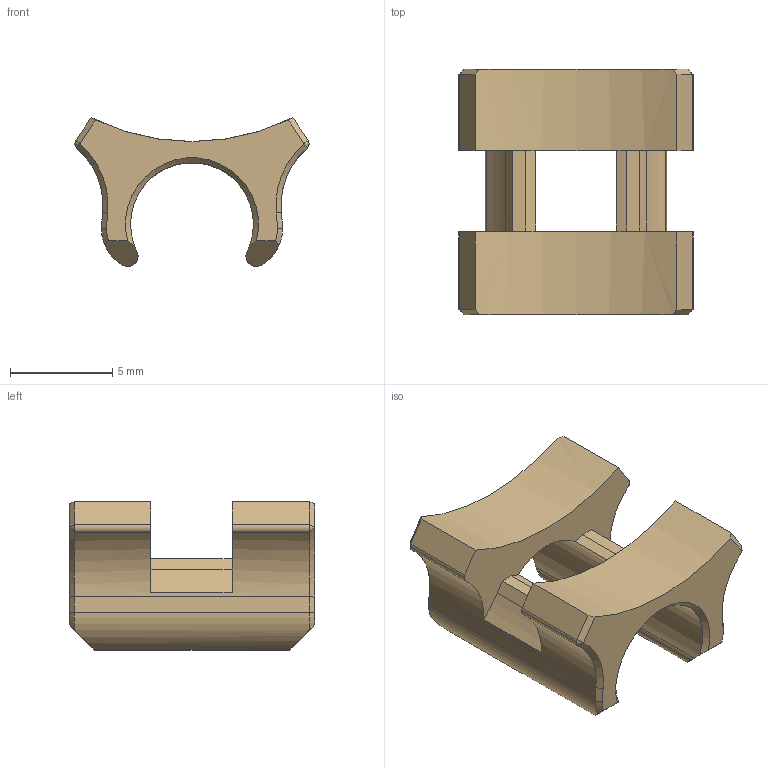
import cadquery as cq
import math


length = 11.99
half_length = length / 2
bore_radius = 3.0

saddle_radius = 11.0
saddle_bottom_z = 4.04
saddle_half_width = 4.93
saddle_center_z = saddle_bottom_z + saddle_radius

wing_slant = math.radians(56.4)
wing_corner_radius = 0.28
flank_radius = 3.65
flank_center = (8.0, 0.95)
flank_end_z = 0.57

leg_half_width = 4.43
leg_arc_start_z = -0.2
tip_radius = 0.5
tip_center_z = -1.555

edge_chamfer = 0.25
lead_in_chamfer = 1.25

gap_width = 3.97
gap_center_y = 0.03
ledge_z = 2.43
ledge_inner_x = 2.47
ledge_outer_x = 3.08
ledge_bore_x = 1.97
step_z = 1.89
gap_outer_z = 0.77


def flank_x(z):
    """X of the concave flank at height z."""
    return flank_center[0] - math.sqrt(flank_radius**2 - (z - flank_center[1])**2)


def flank_point(z):
    return (flank_x(z), z)


def polar(center, radius, angle):
    return (center[0] + radius * math.cos(angle), center[1] + radius * math.sin(angle))


def saddle_point(x):
    return (x, saddle_center_z - math.sqrt(saddle_radius**2 - x**2))


def line(start, end):
    """Straight edge in the XZ plane."""
    return cq.Edge.makeLine(*[cq.Vector(x, 0, z) for x, z in (start, end)])


def arc(start, middle, end):
    """Circular edge in the XZ plane."""
    return cq.Edge.makeThreePointArc(*[cq.Vector(x, 0, z) for x, z in (start, middle, end)])


def wing_corner():
    """Where the slanted end face meets the flank circle."""
    start = saddle_point(saddle_half_width)
    direction = (math.cos(wing_slant), -math.sin(wing_slant))
    offset = (start[0] - flank_center[0], start[1] - flank_center[1])
    along = offset[0] * direction[0] + offset[1] * direction[1]
    gap = offset[0]**2 + offset[1]**2 - flank_radius**2
    distance = -along - math.sqrt(along**2 - gap)
    return (start[0] + distance * direction[0], start[1] + distance * direction[1])


def clip_body():
    """The clip profile, extruded along Y."""
    corner = wing_corner()
    flank_mid_z = (corner[1] + flank_end_z) / 2

    tip_distance = bore_radius + tip_radius
    tip_center = (math.sqrt(tip_distance**2 - tip_center_z**2), tip_center_z)
    bore_angle = math.atan2(tip_center[1], tip_center[0])
    bore_end = polar((0, 0), bore_radius, bore_angle)

    across = leg_half_width - tip_center[0]
    drop = leg_arc_start_z - tip_center[1]
    leg_radius = (across**2 + drop**2 - tip_radius**2) / (2 * (across - tip_radius))
    leg_center = (leg_half_width - leg_radius, leg_arc_start_z)
    leg_angle = math.atan2(tip_center[1] - leg_center[1], tip_center[0] - leg_center[0])
    tip_mid_angle = (leg_angle + bore_angle - math.pi) / 2

    right_side = [
        line(saddle_point(saddle_half_width), corner),
        arc(corner, flank_point(flank_mid_z), flank_point(flank_end_z)),
        line(flank_point(flank_end_z), (leg_half_width, leg_arc_start_z)),
        arc(
            (leg_half_width, leg_arc_start_z),
            polar(leg_center, leg_radius, leg_angle / 2),
            polar(leg_center, leg_radius, leg_angle),
        ),
        arc(
            polar(leg_center, leg_radius, leg_angle),
            polar(tip_center, tip_radius, tip_mid_angle),
            bore_end,
        ),
    ]
    left_side = [edge.mirror("YZ") for edge in reversed(right_side)]
    saddle = arc(
        (-saddle_half_width, saddle_point(saddle_half_width)[1]),
        (0, saddle_bottom_z),
        saddle_point(saddle_half_width),
    )
    bore = arc(bore_end, (0, bore_radius), (-bore_end[0], bore_end[1]))
    outline = cq.Wire.assembleEdges([saddle] + right_side + [bore] + left_side)
    body = cq.Solid.extrudeLinear(outline, [], cq.Vector(0, length, 0))
    return cq.Workplane(body.translate(cq.Vector(0, -half_length, 0)))


def round_wing_corners(body):
    corner = wing_corner()
    for x in (corner[0], -corner[0]):
        selector = cq.selectors.NearestToPointSelector((x, 0, corner[1]))
        body = body.edges("|Y").edges(selector).fillet(wing_corner_radius)
    return body


def is_chamfered(edge):
    """All end edges except the saddle."""
    return not (edge.geomType() == "CIRCLE" and math.isclose(edge.radius(), saddle_radius, rel_tol=1e-3))


def chamfer_ends(body):
    return body.faces("<Y or >Y").edges().filter(is_chamfered).chamfer(edge_chamfer)


def lead_in_cutter(bottom_z):
    """45 degree wedge under the +Y end of the legs."""
    return (
        cq.Workplane("YZ")
        .moveTo(half_length - lead_in_chamfer, bottom_z)
        .lineTo(half_length, bottom_z + lead_in_chamfer)
        .lineTo(half_length + lead_in_chamfer, bottom_z)
        .close()
        .extrude(2 * leg_half_width, both=True)
    )


def cut_lead_ins(body):
    cutter = lead_in_cutter(tip_center_z - tip_radius)
    return body.cut(cutter).cut(cutter.mirror("XZ"))


def cut_gap(body):
    """Clear the middle down to a stepped ledge on each leg."""
    step_x = ledge_outer_x + (ledge_z - step_z) / math.tan(wing_slant)
    ledge_bore_z = math.sqrt(bore_radius**2 - ledge_bore_x**2)
    clear_x = 2 * saddle_half_width
    clear_z = 2 * saddle_bottom_z
    cutter = (
        cq.Workplane("XZ")
        .moveTo(0, ledge_bore_z)
        .lineTo(ledge_bore_x, ledge_bore_z)
        .lineTo(ledge_inner_x, ledge_z)
        .lineTo(ledge_outer_x, ledge_z)
        .lineTo(step_x, step_z)
        .tangentArcPoint((flank_x(gap_outer_z), gap_outer_z), relative=False)
        .lineTo(clear_x, gap_outer_z)
        .lineTo(clear_x, clear_z)
        .lineTo(0, clear_z)
        .mirrorY()
        .extrude(gap_width / 2, both=True)
        .translate((0, gap_center_y, 0))
    )
    return body.cut(cutter)


result = round_wing_corners(clip_body())
result = chamfer_ends(result)
result = cut_lead_ins(result)
result = cut_gap(result)